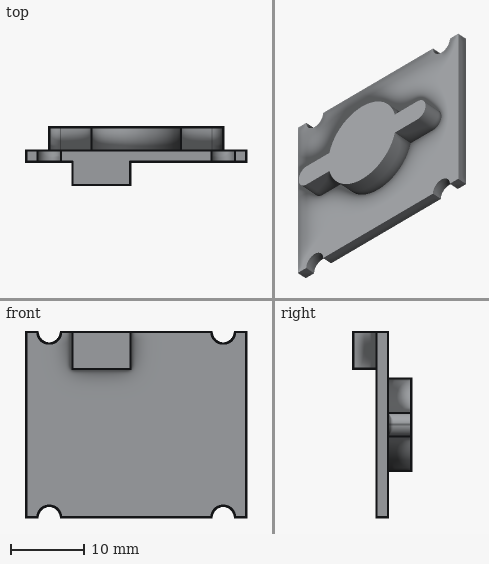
import cadquery as cq

INCH = 25.4

PLATE_WIDTH = 1.1875 * INCH
PLATE_HEIGHT = 1.0 * INCH
PLATE_THICKNESS = INCH / 16

NOTCH_RADIUS = INCH / 16
NOTCH_INSET = INCH / 8

BLOCK_WIDTH = 0.3125 * INCH
BLOCK_HEIGHT = 0.2 * INCH
BLOCK_DEPTH = INCH / 8
BLOCK_INSET = 0.25 * INCH

BOSS_DIAMETER = 0.5 * INCH
BOSS_DEPTH = INCH / 8
ARM_WIDTH = INCH / 8
ARM_CORNER_RADIUS = 0.06 * INCH

notch_x = PLATE_WIDTH / 2 - NOTCH_INSET
arm_span = 2 * notch_x


def make_plate():
    """Rectangular plate with a half-round notch near each corner."""
    plate = cq.Workplane("XY").box(
        PLATE_WIDTH, PLATE_THICKNESS, PLATE_HEIGHT, centered=(True, False, True)
    )
    notches = (
        cq.Workplane("XZ")
        .rect(2 * notch_x, PLATE_HEIGHT, forConstruction=True)
        .vertices()
        .circle(NOTCH_RADIUS)
        .extrude(-PLATE_THICKNESS)
    )
    return plate.cut(notches)


def make_block():
    """Block standing forward of the plate, level with its top edge."""
    center_x = -PLATE_WIDTH / 2 + BLOCK_INSET + BLOCK_WIDTH / 2
    center_z = (PLATE_HEIGHT - BLOCK_HEIGHT) / 2
    return (
        cq.Workplane("XZ")
        .center(center_x, center_z)
        .rect(BLOCK_WIDTH, BLOCK_HEIGHT)
        .extrude(BLOCK_DEPTH)
    )


def make_boss():
    """Disc and bar with rounded corners sharing one centre behind the plate."""
    back_face = cq.Workplane("XZ", origin=(0, PLATE_THICKNESS, 0))
    disc = back_face.circle(BOSS_DIAMETER / 2).extrude(-BOSS_DEPTH)
    arms = back_face.rect(arm_span, ARM_WIDTH).extrude(-BOSS_DEPTH)
    arms = arms.edges("|Y").fillet(ARM_CORNER_RADIUS)
    return disc.union(arms)


result = make_plate().union(make_block()).union(make_boss())